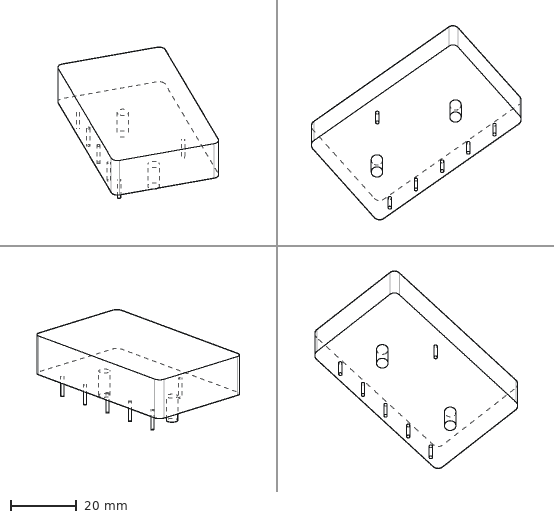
import cadquery as cq

length = 56.5
width = 34.3
total_height = 20.45
corner_radius = 2.05

post_length = 7.85
post_diameter = 3.5
pin_length = 6.35
pin_diameter = 1.0
pin_pitch = 5.1
row_offset = 12.7

body_height = total_height - post_length
post_offset = 3 * pin_pitch

front_row_steps = (-4, -2, 0, 2, 4)
back_row_steps = (1,)


def hanging_cylinders(points, diameter, depth):
    """Round pins pointing down from the underside of the body at z = 0."""
    return cq.Workplane("XY").pushPoints(points).circle(diameter / 2).extrude(-depth)


body = (
    cq.Workplane("XY")
    .box(length, width, body_height, centered=(True, True, False))
    .edges("|Z")
    .fillet(corner_radius)
)

posts = hanging_cylinders([(-post_offset, 0), (post_offset, 0)], post_diameter, post_length)

front_pins = [(step * pin_pitch, -row_offset) for step in front_row_steps]
back_pins = [(step * pin_pitch, row_offset) for step in back_row_steps]
pins = hanging_cylinders(front_pins + back_pins, pin_diameter, pin_length)

result = body.union(posts).union(pins)